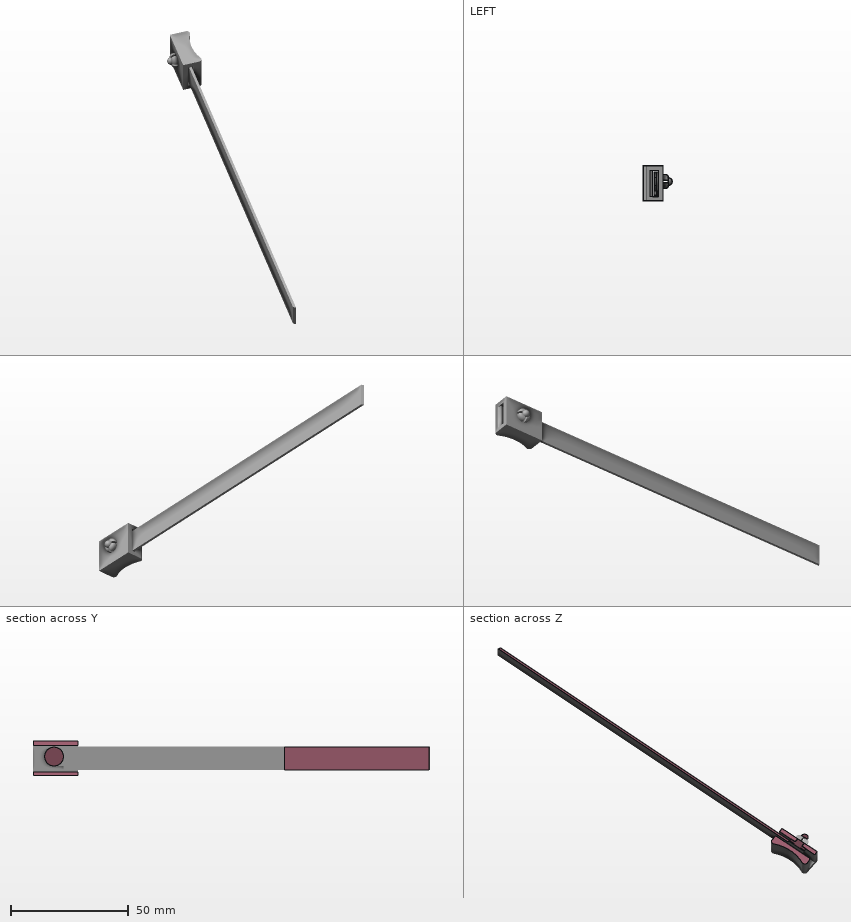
import cadquery as cq
import math


overall_depth = 12.39

housing_length = 19.0
housing_depth = 8.5
housing_height = 15.0
saddle_low_point = 6.7
saddle_corner_radius = 1.4

passage_floor = 2.05
passage_roof = 4.5
passage_height = 11.0
entry_roof = 5.7
entry_chamfer_length = 0.75

strap_end_x = 168.69
strap_width = 10.0
strap_thickness = 1.12
strap_middle_z = -0.15
strap_tilt = 0.3
strap_top_at_entry = 4.0
strap_tip_bevel = 0.5

pin_x = 8.75
pin_z = 0.75
pin_length = overall_depth - housing_depth
stem_radius = 1.65
leg_radius = 3.1
leg_rounding = leg_radius - stem_radius
leg_length = 2.3
slot_width = 1.0
slot_depth = 2.1

eyelet_radius = strap_middle_z + strap_width / 2 - pin_z
eyelet_bottom = 2.8
eyelet_top = 3.4
shoulder_x = pin_x + eyelet_radius


def cylinder_along_y(radius, y_start, y_end):
    """Cylinder on the pin axis between two Y positions."""
    base = cq.Workplane("XZ", origin=(pin_x, y_start, pin_z))
    return base.circle(radius).extrude(y_start - y_end)


def make_housing():
    half_length = housing_length / 2
    rounding_x = half_length - saddle_corner_radius
    drop = saddle_low_point - (housing_depth - saddle_corner_radius)
    saddle_radius = (rounding_x**2 + drop**2 - saddle_corner_radius**2) / (2 * (saddle_corner_radius - drop))
    saddle_centre_y = saddle_low_point + saddle_radius
    corner_y = saddle_centre_y - math.sqrt(saddle_radius**2 - half_length**2)

    body = (
        cq.Workplane("XY")
        .moveTo(0, 0)
        .lineTo(housing_length, 0)
        .lineTo(housing_length, corner_y)
        .threePointArc((half_length, saddle_low_point), (0, corner_y))
        .close()
        .extrude(housing_height / 2, both=True)
    )
    body = body.edges("|Z and >Y").fillet(saddle_corner_radius)

    passage = (
        cq.Workplane("XY", origin=(0, 0, strap_middle_z))
        .moveTo(0, passage_floor)
        .lineTo(housing_length, passage_floor)
        .lineTo(housing_length, passage_roof)
        .lineTo(entry_chamfer_length, passage_roof)
        .lineTo(0, entry_roof)
        .close()
        .extrude(passage_height / 2, both=True)
    )
    pin_hole = cylinder_along_y(stem_radius, 0, passage_floor)
    return body.cut(passage).cut(pin_hole)


def make_strap():
    slope = math.tan(math.radians(strap_tilt))

    def top_at(x):
        return strap_top_at_entry - slope * x

    bevel_x = strap_end_x - strap_tip_bevel
    band = (
        cq.Workplane("XY", origin=(0, 0, strap_middle_z))
        .moveTo(shoulder_x, top_at(shoulder_x))
        .lineTo(strap_end_x, top_at(strap_end_x))
        .lineTo(bevel_x, top_at(bevel_x) - strap_thickness)
        .lineTo(shoulder_x, top_at(shoulder_x) - strap_thickness)
        .close()
        .extrude(strap_width / 2, both=True)
    )

    eyelet_thickness = eyelet_top - eyelet_bottom
    eyelet = cylinder_along_y(eyelet_radius, eyelet_bottom, eyelet_top)
    tongue = cq.Workplane("XY").box(
        eyelet_radius, eyelet_thickness, 2 * eyelet_radius, centered=(False, False, True)
    )
    tongue = tongue.translate((pin_x, eyelet_bottom, pin_z))
    stem_hole = cylinder_along_y(stem_radius, eyelet_bottom, eyelet_top)
    return band.union(tongue).union(eyelet).cut(stem_hole)


def make_pin():
    diagonal = leg_rounding * math.sqrt(0.5)
    legs = (
        cq.Workplane("XY")
        .lineTo(leg_radius, 0)
        .lineTo(leg_radius, leg_rounding - leg_length)
        .threePointArc(
            (stem_radius + diagonal, leg_rounding - leg_length - diagonal),
            (stem_radius, -leg_length),
        )
        .lineTo(0, -leg_length)
        .close()
        .revolve(360, (0, 0), (0, 1))
        .translate((pin_x, 0, pin_z))
    )
    for size in ((slot_width, 2 * leg_radius), (2 * leg_radius, slot_width)):
        slot = cq.Workplane("XZ", origin=(pin_x, 0, pin_z)).rect(*size).extrude(leg_length)
        legs = legs.cut(slot)

    dome_height = pin_length - leg_length
    dome_sphere_radius = (stem_radius**2 + dome_height**2) / (2 * dome_height)
    dome_middle_angle = math.asin(stem_radius / dome_sphere_radius) / 2
    dome_centre_y = dome_sphere_radius - pin_length
    dome_middle = (
        dome_sphere_radius * math.sin(dome_middle_angle),
        dome_centre_y - dome_sphere_radius * math.cos(dome_middle_angle),
    )
    tip = (
        cq.Workplane("XY")
        .moveTo(0, -slot_depth)
        .lineTo(stem_radius, -slot_depth)
        .lineTo(stem_radius, -leg_length)
        .threePointArc(dome_middle, (0, -pin_length))
        .close()
        .revolve(360, (0, 0), (0, 1))
        .translate((pin_x, 0, pin_z))
    )
    stem = cylinder_along_y(stem_radius, 0, eyelet_top)
    flange = cylinder_along_y(eyelet_radius, passage_floor, eyelet_bottom)
    return stem.union(flange).union(legs).union(tip)


housing = make_housing()
strap = make_strap()
pin = make_pin()

result = cq.Compound.makeCompound([housing.val(), strap.val(), pin.val()])